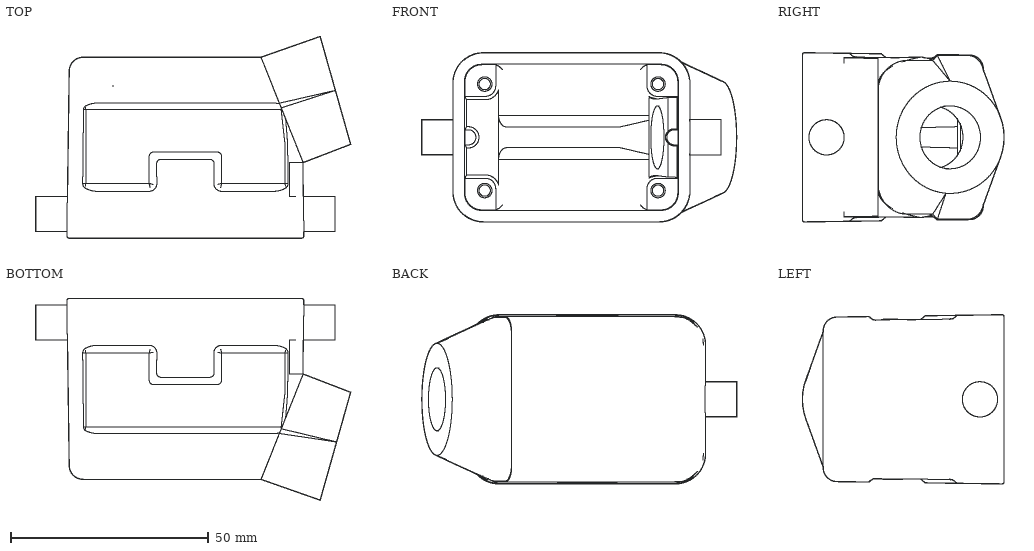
import cadquery as cq
import math

RIM_LENGTH = 60.1
RIM_HEIGHT = 42.95
HOOD_DEPTH = 45.9
HOOD_CORNER_RADIUS = 7.75
DRAFT_ANGLE = 0.8
BACK_EDGE_RADIUS = 3.6
RIM_EDGE_RADIUS = 0.6

PEG_SPAN = 75.85
PEG_RADIUS = 4.5
PEG_Y = 6.15

SLOPE_BACK = (19.2, HOOD_DEPTH)
SLOPE_FRONT = (29.9, 19.2)
NECK_BACK_HALF_HEIGHT = 20.8
NECK_BACK_CORNER_RADIUS = 4.4
NECK_FRONT_HALF_HEIGHT = 19.5
NECK_FRONT_CORNER_RADIUS = 8.0
NECK_STEP_OFFSET = 1.8
NECK_STEP_WIDTH = 1.3

PAD_FRONT_Y = PEG_Y + PEG_RADIUS
PAD_INNER_X = 26.4

MOUTH_BACK = (34.2, 51.2)
MOUTH_FRONT = (41.9, 23.8)
MOUTH_STEP_ANGLE = 4.5
CABLE_BORE_DIAMETER = 16.0
CABLE_BORE_DEPTH = 21.4

RECESS_Z = 19.65
RECESS_FRONT_Y = 13.9
RECESS_BACK_Y = 32.65
RECESS_END_X = 25.2
RECESS_SLOPE_START_Y = 23.95
RECESS_SLOPE_END_X = 24.3
RECESS_WALL_ANGLE = 50.0
RECESS_CUT_HEIGHT = 2.4
TAB_HALF_WIDTH = 9.2
TAB_TIP_Y = 21.9
TAB_CORNER_RADIUS = 2.0

WALL = 2.95
FLOOR_Y = HOOD_DEPTH - WALL
CAVITY_CORNER_RADIUS = 4.4
FLOOR_EDGE_RADIUS = 0.9

POST_FACE_Y = 9.2
POST_INNER_X = 19.2
POST_INNER_Z = 10.4
POST_CORNER_RADIUS = 2.6
POST_DRAFT_ANGLE = 1.6
SCREW_X = 21.95
SCREW_Z = 13.5
SCREW_HOLE_DIAMETER = 2.9
SCREW_CHAMFER = 0.4
SCREW_HOLE_DEPTH = 12.0

RIDGE_HEIGHT = 2.8
STEP_EDGE_X = 18.45
STEP_ABOVE_RIDGE = 0.8
STEP_EDGE_RADIUS = 0.5
RIDGE_TOP_Y = FLOOR_Y - RIDGE_HEIGHT
RIDGE_BASE_HALF = 5.6
RIDGE_TOP_HALF = 2.6
RIDGE_END_RADIUS = 2.0
RAMP_START_X = 12.4
RAMP_DROP = 1.6

SHELF_OUTER = (26.8, 18.1)
SHELF_INNER = (24.5, 20.2)
SLOPE_FOOT_X = 19.65

RIB_RADIUS = 1.9
RIB_DRAFT_ANGLE = 1.5
RIB_TIP_X = 24.2
RIB_FACE_Y = 9.6

PICK_MARGIN = 0.1


def depth_plane(y):
    """Workplane across the hood at depth y, extruding toward +Y."""
    return cq.Workplane(cq.Plane((0, y, 0), xDir=(1, 0, 0), normal=(0, 1, 0)))


def tapered_block(length, height, corner_radius, depth):
    outline = cq.Sketch().rect(length, height).vertices().fillet(corner_radius)
    return depth_plane(0).placeSketch(outline).extrude(depth, taper=DRAFT_ANGLE)


def make_hood():
    hood = tapered_block(RIM_LENGTH, RIM_HEIGHT, HOOD_CORNER_RADIUS, HOOD_DEPTH)
    hood = hood.faces(">Y").edges().fillet(BACK_EDGE_RADIUS)
    hood = hood.faces("<Y").edges().fillet(RIM_EDGE_RADIUS)
    beyond_slope = (
        cq.Workplane("XY")
        .polyline([
            SLOPE_BACK,
            SLOPE_FRONT,
            (RIM_LENGTH, SLOPE_FRONT[1]),
            (RIM_LENGTH, HOOD_DEPTH + WALL),
            (SLOPE_BACK[0], HOOD_DEPTH + WALL),
        ])
        .close()
        .extrude(RIM_HEIGHT, both=True)
    )
    return hood.cut(beyond_slope)


def make_pad():
    depth = SLOPE_FRONT[1] - PAD_FRONT_Y
    outline = cq.Sketch().rect(2 * SLOPE_FRONT[0], RIM_HEIGHT).vertices().fillet(HOOD_CORNER_RADIUS)
    pad = depth_plane(PAD_FRONT_Y).placeSketch(outline).extrude(depth)
    end_slab = (
        depth_plane(PAD_FRONT_Y)
        .center(PAD_INNER_X + RIM_LENGTH / 2, 0)
        .rect(RIM_LENGTH, RIM_HEIGHT)
        .extrude(depth)
    )
    return pad.intersect(end_slab)


def make_pegs():
    return (
        cq.Workplane("YZ", origin=(-PEG_SPAN / 2, 0, 0))
        .center(PEG_Y, 0)
        .circle(PEG_RADIUS)
        .extrude(PEG_SPAN)
    )


def plane_between(front, back):
    """Upright plane through two XY points; local x runs front to back and local y is +Z."""
    dx = back[0] - front[0]
    dy = back[1] - front[1]
    middle = ((front[0] + back[0]) / 2, (front[1] + back[1]) / 2, 0)
    return cq.Plane(middle, xDir=(dx, dy, 0), normal=(dy, -dx, 0)), math.hypot(dx, dy)


def arc_on(plane, center, radius, start, end):
    """Arc on a plane about a local center, between two angles in degrees."""
    points = []
    for degrees in (start, (start + end) / 2, end):
        angle = math.radians(degrees)
        local = (center[0] + radius * math.cos(angle), center[1] + radius * math.sin(angle))
        points.append(plane.toWorldCoords(local))
    return cq.Edge.makeThreePointArc(*points)


def make_cable_entry():
    """Transition from a rounded outline to a circle: flat triangles on the sides, a cone per corner.

    The +Z and -Z sides carry on the step at the back of the panel recess.
    """
    neck_plane, neck_length = plane_between(SLOPE_FRONT, SLOPE_BACK)
    mouth_plane, mouth_diameter = plane_between(MOUTH_FRONT, MOUTH_BACK)
    back_center_x = neck_length / 2 - NECK_BACK_CORNER_RADIUS
    back_center_z = NECK_BACK_HALF_HEIGHT - NECK_BACK_CORNER_RADIUS
    front_center_x = -neck_length / 2 + NECK_FRONT_CORNER_RADIUS
    front_center_z = NECK_FRONT_HALF_HEIGHT - NECK_FRONT_CORNER_RADIUS

    step = MOUTH_STEP_ANGLE
    corners = [
        ((back_center_x, back_center_z), NECK_BACK_CORNER_RADIUS, (0, 90), (0, 90)),
        ((front_center_x, front_center_z), NECK_FRONT_CORNER_RADIUS, (90, 180), (90 + step, 180)),
        ((front_center_x, -front_center_z), NECK_FRONT_CORNER_RADIUS, (180, 270), (180, 270 - step)),
        ((back_center_x, -back_center_z), NECK_BACK_CORNER_RADIUS, (270, 360), (270, 360)),
    ]
    neck_arcs = []
    mouth_arcs = []
    for center, radius, neck_angles, mouth_angles in corners:
        neck_arcs.append(arc_on(neck_plane, center, radius, *neck_angles))
        mouth_arcs.append(arc_on(mouth_plane, (0, 0), mouth_diameter / 2, *mouth_angles))

    step_back = (NECK_STEP_OFFSET, NECK_BACK_HALF_HEIGHT)
    step_front = (NECK_STEP_OFFSET - NECK_STEP_WIDTH, NECK_FRONT_HALF_HEIGHT)
    top_step = [neck_plane.toWorldCoords(point) for point in (step_back, step_front)]
    bottom_step = [neck_plane.toWorldCoords((x, -z)) for x, z in (step_front, step_back)]
    side_steps = [top_step, [], bottom_step, []]

    faces = []
    neck_edges = []
    mouth_edges = []
    for side in range(4):
        following = (side + 1) % 4
        faces.append(cq.Face.makeRuledSurface(neck_arcs[side], mouth_arcs[side]))
        neck_edges.append(neck_arcs[side])
        mouth_edges.append(mouth_arcs[side])
        near_apex = mouth_arcs[side].endPoint()
        far_apex = mouth_arcs[following].startPoint()
        corner_end = neck_arcs[side].endPoint()
        next_start = neck_arcs[following].startPoint()
        if side_steps[side]:
            first, second = side_steps[side]
            outlines = [
                [corner_end, first, near_apex],
                [first, second, near_apex],
                [second, far_apex, near_apex],
                [second, next_start, far_apex],
            ]
            mouth_edges.append(cq.Edge.makeLine(near_apex, far_apex))
        else:
            outlines = [[corner_end, next_start, near_apex]]
        for outline in outlines:
            faces.append(cq.Face.makeFromWires(cq.Wire.makePolygon(outline, close=True)))
        neck_points = [corner_end, *side_steps[side], next_start]
        for start, end in zip(neck_points, neck_points[1:]):
            neck_edges.append(cq.Edge.makeLine(start, end))
    for edges in (neck_edges, mouth_edges):
        faces.append(cq.Face.makeFromWires(cq.Wire.assembleEdges(edges)))
    return cq.Workplane(cq.Solid.makeSolid(cq.Shell.makeShell(faces)).fix())


def make_cable_bore():
    mouth_plane, _ = plane_between(MOUTH_FRONT, MOUTH_BACK)
    return cq.Workplane(mouth_plane).circle(CABLE_BORE_DIAMETER / 2).extrude(-CABLE_BORE_DEPTH)


def make_recess():
    """Cutter for the +Z panel recess; its walls lean outward from the flat panel."""
    cutter = (
        cq.Workplane("XY", origin=(0, 0, RECESS_Z))
        .polyline([
            (-RECESS_END_X, RECESS_FRONT_Y),
            (-TAB_HALF_WIDTH, RECESS_FRONT_Y),
            (-TAB_HALF_WIDTH, TAB_TIP_Y),
            (TAB_HALF_WIDTH, TAB_TIP_Y),
            (TAB_HALF_WIDTH, RECESS_FRONT_Y),
            (RECESS_END_X, RECESS_FRONT_Y),
            (RECESS_END_X, RECESS_SLOPE_START_Y),
            (RECESS_SLOPE_END_X, RECESS_BACK_Y),
            (-RECESS_END_X, RECESS_BACK_Y),
        ])
        .close()
        .extrude(RECESS_CUT_HEIGHT, taper=-RECESS_WALL_ANGLE)
    )
    tab_box = cq.selectors.BoxSelector(
        (-TAB_HALF_WIDTH - PICK_MARGIN, RECESS_FRONT_Y - RECESS_CUT_HEIGHT, RECESS_Z + PICK_MARGIN),
        (TAB_HALF_WIDTH + PICK_MARGIN, TAB_TIP_Y + PICK_MARGIN, RECESS_Z + RECESS_CUT_HEIGHT - PICK_MARGIN),
    )
    return cutter.edges(tab_box).edges("not #Z").fillet(TAB_CORNER_RADIUS)


def make_posts():
    size = RIM_LENGTH
    outline = cq.Sketch().rect(size, size).vertices().fillet(POST_CORNER_RADIUS)
    post = depth_plane(POST_FACE_Y).placeSketch(outline).extrude(HOOD_DEPTH, taper=-POST_DRAFT_ANGLE)
    posts = cq.Workplane("XY")
    for side_x in (-1, 1):
        for side_z in (-1, 1):
            shift_x = side_x * (POST_INNER_X + size / 2)
            shift_z = side_z * (POST_INNER_Z + size / 2)
            posts = posts.add(post.translate((shift_x, 0, shift_z)))
    return posts.combine()


def make_step():
    """Raised floor at the -X end, between the posts."""
    length = RIM_LENGTH / 2 - STEP_EDGE_X
    top_y = RIDGE_TOP_Y - STEP_ABOVE_RIDGE
    return (
        depth_plane(top_y)
        .center(-STEP_EDGE_X - length / 2, 0)
        .rect(length, RIM_HEIGHT)
        .extrude(HOOD_DEPTH - top_y)
        .faces("<Y")
        .edges(">X")
        .fillet(STEP_EDGE_RADIUS)
    )


def make_ridge():
    """Ridge along the floor, flared where it meets the step and ramped at the cable entry."""
    ridge = (
        cq.Workplane("YZ", origin=(-STEP_EDGE_X, 0, 0))
        .polyline([
            (RIDGE_TOP_Y, -RIDGE_TOP_HALF),
            (RIDGE_TOP_Y, RIDGE_TOP_HALF),
            (FLOOR_Y, RIDGE_BASE_HALF),
            (HOOD_DEPTH, RIDGE_BASE_HALF),
            (HOOD_DEPTH, -RIDGE_BASE_HALF),
            (FLOOR_Y, -RIDGE_BASE_HALF),
        ])
        .close()
        .extrude(STEP_EDGE_X + SLOPE_FOOT_X)
    )
    foot = (
        depth_plane(RIDGE_TOP_Y)
        .center(-STEP_EDGE_X - RIDGE_TOP_HALF, 0)
        .rect(2 * RIDGE_TOP_HALF, RIM_HEIGHT)
        .extrude(HOOD_DEPTH - RIDGE_TOP_Y)
    )
    ramp = (
        cq.Workplane("XY")
        .polyline([
            (RAMP_START_X, RIDGE_TOP_Y),
            (SLOPE_FOOT_X, RIDGE_TOP_Y),
            (SLOPE_FOOT_X, RIDGE_TOP_Y + RAMP_DROP),
        ])
        .close()
        .extrude(RIDGE_BASE_HALF, both=True)
    )
    inner_corners = cq.selectors.BoxSelector(
        (-STEP_EDGE_X - PICK_MARGIN, RIDGE_TOP_Y, -RIDGE_BASE_HALF),
        (-STEP_EDGE_X + PICK_MARGIN, FLOOR_Y - PICK_MARGIN, RIDGE_BASE_HALF),
    )
    joined = foot.union(ridge.cut(ramp))
    return joined.edges(inner_corners).edges("not |Z").fillet(RIDGE_END_RADIUS)


def make_entry_wall():
    return (
        cq.Workplane("XY")
        .polyline([
            (SLOPE_FOOT_X, HOOD_DEPTH),
            (SLOPE_FOOT_X, FLOOR_Y),
            SHELF_INNER,
            SHELF_OUTER,
            (RIM_LENGTH / 2, SHELF_OUTER[1]),
            (RIM_LENGTH / 2, HOOD_DEPTH),
        ])
        .close()
        .extrude(POST_INNER_Z + POST_CORNER_RADIUS, both=True)
    )


def make_ribs():
    center_x = RIB_TIP_X + RIB_RADIUS
    outline = cq.Sketch()
    for side in (-1, 1):
        outline = outline.push([(side * center_x, 0)]).circle(RIB_RADIUS)
        outline = outline.push([(side * (center_x + RIB_RADIUS), 0)]).rect(2 * RIB_RADIUS, 2 * RIB_RADIUS)
    outline = outline.reset().clean()
    return depth_plane(RIB_FACE_Y).placeSketch(outline).extrude(
        FLOOR_Y - RIB_FACE_Y, taper=-RIB_DRAFT_ANGLE
    )


def make_cavity():
    cavity = tapered_block(
        RIM_LENGTH - 2 * WALL, RIM_HEIGHT - 2 * WALL, CAVITY_CORNER_RADIUS, FLOOR_Y
    )
    cavity = cavity.cut(make_posts()).cut(make_step())
    cavity = cavity.faces(">Y").edges().fillet(FLOOR_EDGE_RADIUS)
    return cavity.cut(make_entry_wall()).cut(make_ridge()).cut(make_ribs())


def make_screw_holes():
    hole_radius = SCREW_HOLE_DIAMETER / 2
    hole = depth_plane(POST_FACE_Y).circle(hole_radius).extrude(SCREW_HOLE_DEPTH)
    countersink = (
        depth_plane(POST_FACE_Y)
        .circle(hole_radius + SCREW_CHAMFER)
        .extrude(SCREW_CHAMFER, taper=45)
    )
    hole = hole.union(countersink)
    holes = cq.Workplane("XY")
    for x in (-SCREW_X, SCREW_X):
        for z in (-SCREW_Z, SCREW_Z):
            holes = holes.add(hole.translate((x, 0, z)))
    return holes.combine()


recess = make_recess()
result = make_hood().union(make_cable_entry()).union(make_pad())
result = result.cut(recess).cut(recess.mirror("XY"))
result = result.union(make_pegs())
result = result.cut(make_cavity()).cut(make_cable_bore()).cut(make_screw_holes())